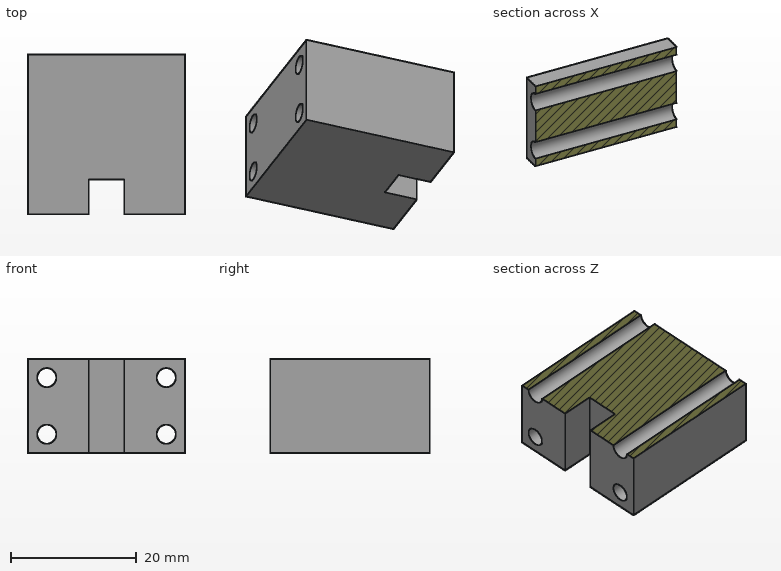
import cadquery as cq

width = 25.0
depth = 25.45
height = 15.0

slot_width = 5.62
slot_depth = 5.52

hole_diameter = 3.0
hole_inset = hole_diameter
hole_spacing_x = width - 2 * hole_inset
hole_spacing_z = height - 2 * hole_inset


def make_block():
    return cq.Workplane("XY").box(width, depth, height)


def cut_slot(body):
    slot = cq.Workplane("XY").box(slot_width, slot_depth, height)
    return body.cut(slot.translate((0, (slot_depth - depth) / 2, 0)))


def drill_holes(body):
    holes = (
        cq.Workplane("XZ")
        .rarray(hole_spacing_x, hole_spacing_z, 2, 2)
        .circle(hole_diameter / 2)
        .extrude(depth / 2, both=True)
    )
    return body.cut(holes)


result = drill_holes(cut_slot(make_block()))